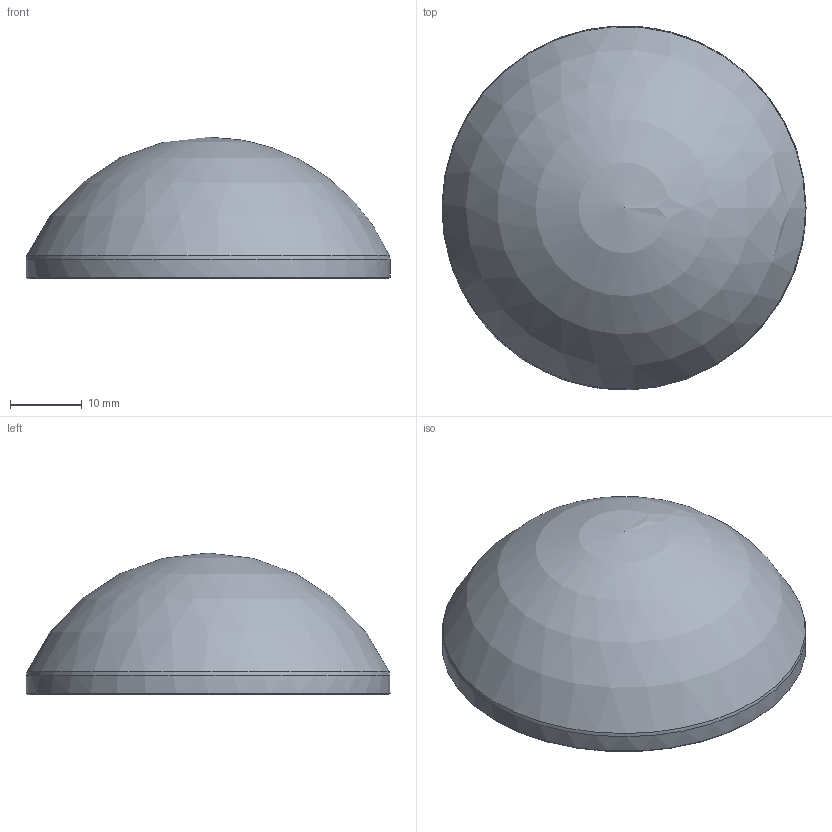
import cadquery as cq
import math

diameter = 50.8
center_thickness = 19.79
edge_thickness = 3.0
bevel_leg = 0.25

rim_radius = diameter / 2
dome_height = center_thickness - edge_thickness
dome_radius = (rim_radius**2 + dome_height**2) / (2 * dome_height)
dome_center_z = center_thickness - dome_radius


def dome_z(radius):
    """Height of the spherical surface at a distance from the optical axis."""
    return dome_center_z + math.sqrt(dome_radius**2 - radius**2)


def lens_blank():
    """Sharp-edged lens: a half section revolved about the optical axis."""
    mid_radius = rim_radius / 2
    section = (
        cq.Workplane("XZ")
        .lineTo(rim_radius, 0)
        .lineTo(rim_radius, edge_thickness)
        .threePointArc((mid_radius, dome_z(mid_radius)), (0, center_thickness))
        .close()
    )
    return section.revolve(360, (0, 0, 0), (0, 1, 0))


def bevel_rim(lens):
    """Bevel both circular edges of the cylindrical rim."""
    rim_face = lens.faces("%CYLINDER")
    return rim_face.edges("%CIRCLE").chamfer(bevel_leg)


result = bevel_rim(lens_blank())